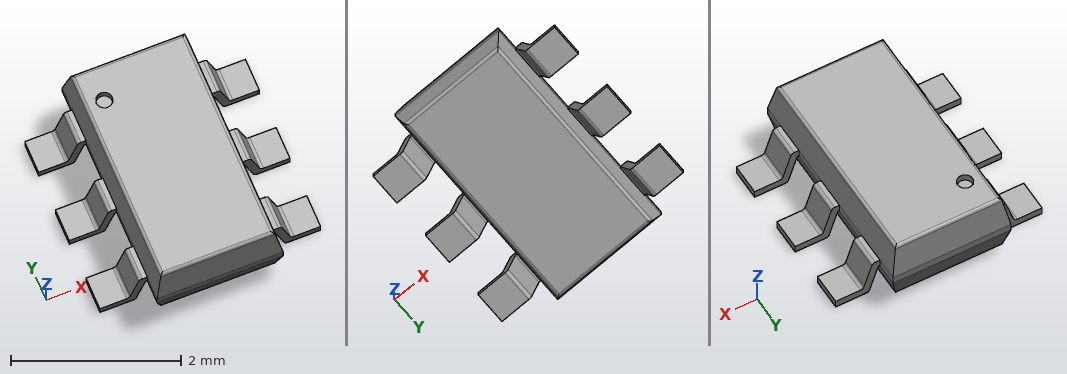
import cadquery as cq
import math

overall_span = 2.8
overall_height = 0.95

housing_length = 2.94
housing_width = 1.6
standoff = 0.075
taper_inset = 0.082
edge_radius = 0.04

leads_per_side = 3
lead_pitch = 0.95
lead_width = 0.43
lead_thickness = 0.105
lead_top = 0.505
foot_length = 0.373
slant_angle = 17.6
bend_radius = 0.05
under_shoulder_radius = 0.02

dimple_diameter = 0.2
dimple_depth = 0.1
dimple_x = -0.48
dimple_y = lead_pitch

band_top = lead_top
band_bottom = lead_top - lead_thickness


def tapered_block(start_z, end_z):
    """Block that narrows from the band section at start_z to the drawn-in section at end_z."""
    return (
        cq.Workplane("XY", origin=(0, 0, start_z))
        .rect(housing_width, housing_length)
        .workplane(offset=end_z - start_z)
        .rect(housing_width - 2 * taper_inset, housing_length - 2 * taper_inset)
        .loft(ruled=True)
    )


def make_housing():
    """Straight band with a taper above and below, rounded rims and the pin 1 dimple."""
    band = (
        cq.Workplane("XY", origin=(0, 0, band_bottom))
        .rect(housing_width, housing_length)
        .extrude(lead_thickness)
    )
    body = (
        band.union(tapered_block(band_top, overall_height))
        .union(tapered_block(band_bottom, standoff))
    )
    body = body.faces(">Z or <Z").edges().fillet(edge_radius)
    dimple = (
        cq.Workplane("XY", origin=(dimple_x, dimple_y, overall_height - dimple_depth))
        .circle(dimple_diameter / 2)
        .extrude(dimple_depth)
    )
    return body.cut(dimple)


def make_left_lead(y):
    """Gull-wing lead on the -X side, centred at y, ending flush on the housing band."""
    tip_x = -overall_span / 2
    lean = math.tan(math.radians(slant_angle))
    leg_run = lean * (lead_top - lead_thickness)
    leg_step = lead_thickness / math.cos(math.radians(slant_angle))
    knee_upper_x = tip_x + foot_length
    shoulder_upper_x = knee_upper_x + leg_run
    knee_lower_x = knee_upper_x - lean * lead_thickness + leg_step
    shoulder_lower_x = knee_lower_x + leg_run

    profile = [
        (tip_x, 0),
        (knee_lower_x, 0),
        (shoulder_lower_x, band_bottom),
        (-housing_width / 2, band_bottom),
        (-housing_width / 2, lead_top),
        (shoulder_upper_x, lead_top),
        (knee_upper_x, lead_thickness),
        (tip_x, lead_thickness),
    ]
    lead = (
        cq.Workplane("XZ", origin=(0, y + lead_width / 2, 0))
        .polyline(profile)
        .close()
        .extrude(lead_width)
    )
    bends = [
        (knee_lower_x, 0, bend_radius),
        (shoulder_lower_x, band_bottom, under_shoulder_radius),
        (shoulder_upper_x, lead_top, bend_radius),
        (knee_upper_x, lead_thickness, bend_radius),
    ]
    for x, z, radius in bends:
        lead = lead.edges(cq.NearestToPointSelector((x, y, z))).fillet(radius)
    return lead


housing = make_housing()

leads = []
for row in range(leads_per_side):
    lead_y = (row - (leads_per_side - 1) / 2) * lead_pitch
    left_lead = make_left_lead(lead_y)
    leads.append(left_lead.val())
    leads.append(left_lead.mirror("YZ").val())

result = cq.Compound.makeCompound([housing.val(), *leads])